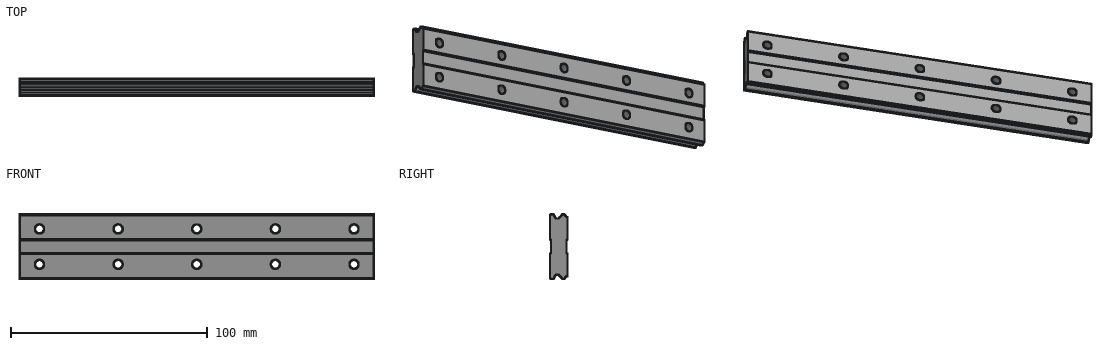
import cadquery as cq

length = 180.0
thickness = 9.0
height = 33.0
half_thickness = thickness / 2
half_height = height / 2

front_chamfer = 0.5
front_lip_width = 1.3
back_shoulder_width = 0.5
back_chamfer_width = 1.3
back_chamfer_height = 1.35
back_lip_width = 0.9
lip_bevel_width = 0.5
lip_bevel_height = 0.7
groove_front_slope = 1.3
groove_floor_width = 1.3
groove_depth = 2.2

relief_height = 6.5
relief_depth = 0.5
relief_slope = 0.5

hole_diameter = 4.5
holes_per_row = 5
hole_pitch = 40.0
row_spacing = 18.0


def upper_half_outline():
    """(Y, Z) points from the front relief, over the top edge, to the back relief."""
    front = -half_thickness
    back = half_thickness
    relief_edge = relief_height / 2
    front_lip_start = front + front_chamfer
    groove_start = front_lip_start + front_lip_width
    floor_start = groove_start + groove_front_slope
    shoulder_start = back - back_shoulder_width
    back_lip_end = shoulder_start - back_chamfer_width
    back_lip_start = back_lip_end - back_lip_width
    return [
        (front + relief_depth, relief_edge),
        (front, relief_edge + relief_slope),
        (front, half_height - front_chamfer),
        (front_lip_start, half_height),
        (groove_start, half_height),
        (floor_start, half_height - groove_depth),
        (floor_start + groove_floor_width, half_height - groove_depth),
        (back_lip_start - lip_bevel_width, half_height - lip_bevel_height),
        (back_lip_start, half_height),
        (back_lip_end, half_height),
        (shoulder_start, half_height - back_chamfer_height),
        (back, half_height - back_chamfer_height),
        (back, relief_edge + relief_slope),
        (back - relief_depth, relief_edge),
    ]


upper = upper_half_outline()
lower = [(y, -z) for y, z in reversed(upper)]
bar = cq.Workplane("YZ").polyline(upper + lower).close().extrude(length / 2, both=True)

holes = (
    cq.Workplane("XZ")
    .rarray(hole_pitch, row_spacing, holes_per_row, 2)
    .circle(hole_diameter / 2)
    .extrude(thickness, both=True)
)

result = bar.cut(holes)